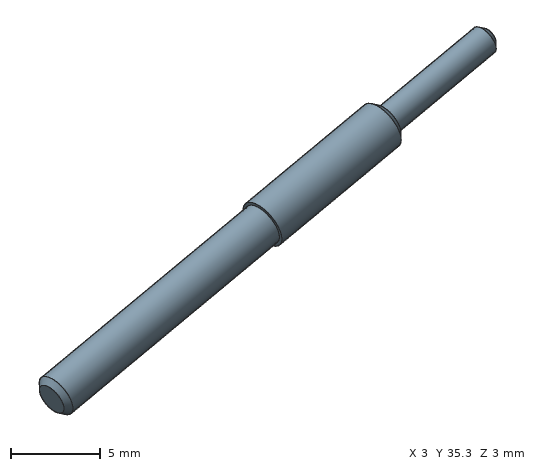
import cadquery as cq

total_length = 35.3
tip_length = 8.3
collar_length = 10.0
tip_radius = 0.9
collar_radius = 1.5
shank_radius = 1.3
end_chamfer = 0.35

front_y = -total_length / 2
back_y = total_length / 2
collar_back_y = back_y - tip_length
collar_front_y = collar_back_y - collar_length


def pin_section(radius, start_y, end_y):
    """Solid cylinder along Y between two stations."""
    plane = cq.Workplane("XZ", origin=(0, end_y, 0))
    return plane.circle(radius).extrude(end_y - start_y)


shank = pin_section(shank_radius, front_y, collar_front_y).faces("<Y").chamfer(end_chamfer)
collar = pin_section(collar_radius, collar_front_y, collar_back_y).faces(">Y").chamfer(end_chamfer)
tip = pin_section(tip_radius, collar_back_y, back_y).faces(">Y").chamfer(end_chamfer)

result = shank.union(collar).union(tip)